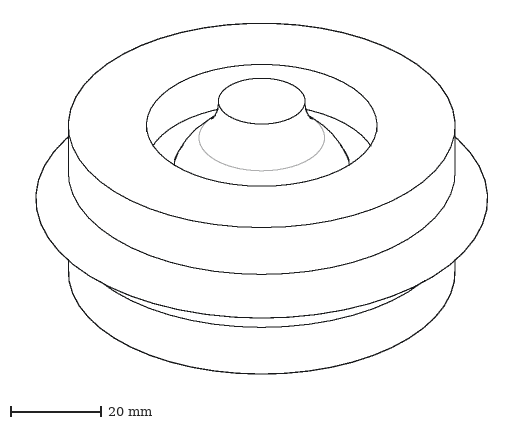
import cadquery as cq

disc_diameter = 100.0
disc_thickness = 0.02
overall_height = 50.8

ring_diameter = 85.6
ring_bore_diameter = 51.0
ring_bottom = 6.9
ring_height = 12.2
ring_floor_thickness = 1.7

neck_radius = 18.8
shoulder_radius = 20.4
shoulder_height = 5.1
dome_mid_radius = 18.7
dome_mid_height = 10.0
dome_end_radius = 13.9
dome_end_height = 15.9
flare_mid_radius = 11.0
flare_mid_height = 19.4
tip_radius = 9.6

tip_height = overall_height / 2


def make_half_core():
    """Solid upper half of the core: conical neck, convex dome and concave flare to a flat tip."""
    profile = (
        cq.Workplane("XZ")
        .lineTo(neck_radius, 0)
        .lineTo(shoulder_radius, shoulder_height)
        .threePointArc((dome_mid_radius, dome_mid_height), (dome_end_radius, dome_end_height))
        .threePointArc((flare_mid_radius, flare_mid_height), (tip_radius, tip_height))
        .lineTo(0, tip_height)
        .close()
    )
    return profile.revolve(360, (0, 0, 0), (0, 1, 0))


def make_core():
    """Two mirrored core halves joined to the thin disc on the mid-plane."""
    half = make_half_core()
    disc = cq.Workplane("XY").circle(disc_diameter / 2).extrude(disc_thickness / 2, both=True)
    return half.union(half.mirror("XY")).union(disc)


def make_ring(core):
    """Upper ring with a recess from above and a floor that fits closely around the core."""
    ring = cq.Workplane("XY").workplane(offset=ring_bottom).circle(ring_diameter / 2).extrude(ring_height)
    recess = (
        cq.Workplane("XY")
        .workplane(offset=ring_bottom + ring_floor_thickness)
        .circle(ring_bore_diameter / 2)
        .extrude(ring_height - ring_floor_thickness)
    )
    return ring.cut(recess).cut(core)


core = make_core()
upper_ring = make_ring(core)

rings = []
for flipped in (False, True):
    ring = upper_ring.mirror("XY") if flipped else upper_ring
    rings.append(ring.val())

result = cq.Compound.makeCompound([core.val(), *rings])